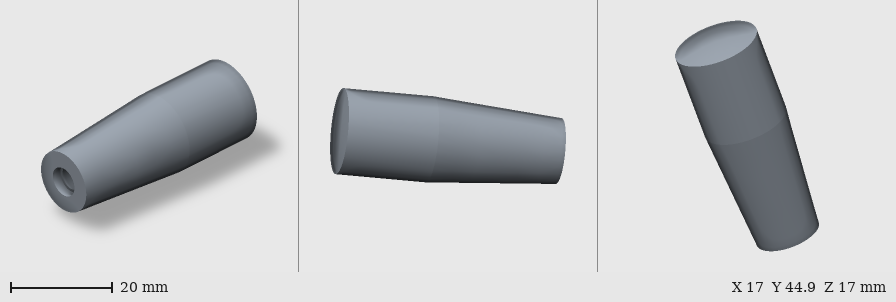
import cadquery as cq
import math

total_length = 44.9
grip_diameter = 17.0
tip_diameter = 13.02
taper_length = 26.0
dome_height = 0.7

counterbore_diameter = 6.2
counterbore_depth = 2.0
bore_diameter = 5.0
bore_depth = 13.47
drill_point_angle = 120.0


def make_body():
    """Revolve the tapered neck, straight grip and shallow spherical dome."""
    grip_radius = grip_diameter / 2
    shoulder_y = total_length - dome_height
    dome_radius = (grip_radius**2 + dome_height**2) / (2 * dome_height)
    middle_x = grip_radius / 2
    middle_y = total_length - dome_radius + math.sqrt(dome_radius**2 - middle_x**2)
    profile = (
        cq.Workplane("XY")
        .lineTo(tip_diameter / 2, 0)
        .lineTo(grip_radius, taper_length)
        .lineTo(grip_radius, shoulder_y)
        .threePointArc((middle_x, middle_y), (0, total_length))
        .close()
    )
    return profile.revolve(360, (0, 0, 0), (0, 1, 0))


def make_hole():
    """Revolve the counterbore, bore and conical drill point."""
    bore_radius = bore_diameter / 2
    point_depth = bore_radius / math.tan(math.radians(drill_point_angle / 2))
    profile = (
        cq.Workplane("XY")
        .lineTo(counterbore_diameter / 2, 0)
        .lineTo(counterbore_diameter / 2, counterbore_depth)
        .lineTo(bore_radius, counterbore_depth)
        .lineTo(bore_radius, bore_depth)
        .lineTo(0, bore_depth + point_depth)
        .close()
    )
    return profile.revolve(360, (0, 0, 0), (0, 1, 0))


result = make_body().cut(make_hole())